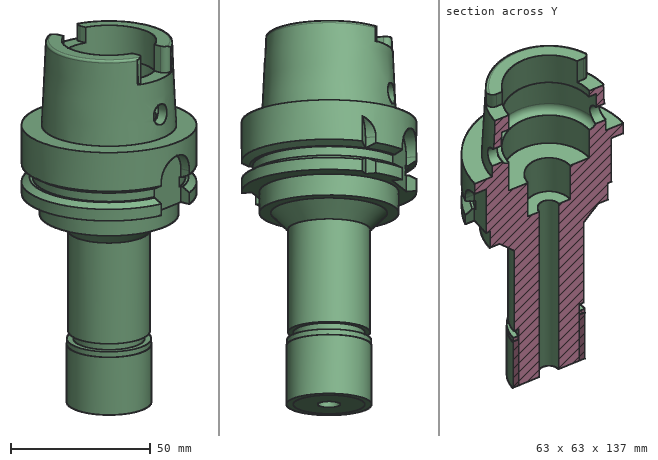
import cadquery as cq
import math


TOTAL_HEIGHT = 137.0
FLANGE_TOP = 105.0
FLANGE_BOTTOM = 79.0
COLLAR_BOTTOM = 71.2
NECK_TOP = 65.1
NECK_BOTTOM = 26.9
RING_TOP = 24.0
NUT_TOP = 21.9

TAPER_BASE_RADIUS = 24.2
TAPER_TOP_RADIUS = 22.7
RIM_FILLET = 1.0

FLANGE_RADIUS = 31.5
GROOVE_RADIUS = 27.5
GROOVE_LIP_RADIUS = 28.6
GROOVE_CHAMFER_HEIGHT = 1.6
GROOVE_FLOOR_TOP = FLANGE_TOP - 16.3
GROOVE_FLOOR_BOTTOM = FLANGE_TOP - 19.9

COLLAR_RADIUS = 25.1
NECK_RADIUS = 14.8
CONE_RADIUS = NECK_RADIUS + COLLAR_BOTTOM - NECK_TOP
SPIGOT_RADIUS = 12.9
RING_RADIUS = 15.2
NUT_RADIUS = 15.3

MOUTH_RADIUS = 17.0
MOUTH_DEPTH = 13.0
CAVITY_RADIUS = 20.0
CAVITY_BOTTOM = 108.4
CAVITY_ROUND = CAVITY_RADIUS - MOUTH_RADIUS
BORE_FLOOR = 95.1
COUNTERBORE_RADIUS = 8.9
COUNTERBORE_FLOOR = FLANGE_BOTTOM
THROUGH_RADIUS = 4.1

RIM_SLOT_WIDTH = 12.6
RIM_SLOT_DEPTHS = {-1: 5.9, 1: 10.0}
RIM_SLOT_EDGE_RADIUS = 2.3
CROSS_HOLE_RADIUS = 3.8
CROSS_HOLE_HEIGHT = FLANGE_TOP + 8.9

POCKET_RADIUS = 8.1
POCKET_TOP = FLANGE_TOP - 5.1
POCKET_FLOOR = 26.6
NOTCH_OFFSET = 28.1
NOTCH_FLOOR = 20.4
NOTCH_TOP = FLANGE_TOP - 4.2


def tube(outer_radius, inner_radius, bottom, top):
    """Hollow cylinder about the Z axis."""
    return cylinder(outer_radius, bottom, top).cut(cylinder(inner_radius, bottom, top))


def cylinder(radius, bottom, top):
    return cq.Workplane("XY", origin=(0, 0, bottom)).circle(radius).extrude(top - bottom)


def turned_blank():
    """Outside shape of the holder before any cutting."""
    profile = [
        (0, 0),
        (SPIGOT_RADIUS, 0),
        (SPIGOT_RADIUS, NECK_BOTTOM),
        (NECK_RADIUS, NECK_BOTTOM),
        (NECK_RADIUS, NECK_TOP),
        (CONE_RADIUS, COLLAR_BOTTOM),
        (COLLAR_RADIUS, COLLAR_BOTTOM),
        (COLLAR_RADIUS, FLANGE_BOTTOM),
        (FLANGE_RADIUS, FLANGE_BOTTOM),
        (FLANGE_RADIUS, GROOVE_FLOOR_BOTTOM - GROOVE_CHAMFER_HEIGHT),
        (GROOVE_LIP_RADIUS, GROOVE_FLOOR_BOTTOM),
        (GROOVE_RADIUS, GROOVE_FLOOR_BOTTOM),
        (GROOVE_RADIUS, GROOVE_FLOOR_TOP),
        (GROOVE_LIP_RADIUS, GROOVE_FLOOR_TOP),
        (FLANGE_RADIUS, GROOVE_FLOOR_TOP + GROOVE_CHAMFER_HEIGHT),
        (FLANGE_RADIUS, FLANGE_TOP),
        (TAPER_BASE_RADIUS, FLANGE_TOP),
        (TAPER_TOP_RADIUS, TOTAL_HEIGHT),
        (0, TOTAL_HEIGHT),
    ]
    blank = cq.Workplane("YZ").polyline(profile).close().revolve(360, (0, 0), (0, 1))
    return blank.faces(">Z").edges().fillet(RIM_FILLET)


def stepped_bore():
    """Main bore with a wider round-bottomed cavity, counterbore and through hole as one cutter."""
    main_bore = cylinder(MOUTH_RADIUS, BORE_FLOOR, TOTAL_HEIGHT)
    cavity = cylinder(CAVITY_RADIUS, CAVITY_BOTTOM, TOTAL_HEIGHT - MOUTH_DEPTH)
    cavity = cavity.faces("<Z").edges().fillet(CAVITY_ROUND)
    counterbore = cylinder(COUNTERBORE_RADIUS, COUNTERBORE_FLOOR, BORE_FLOOR)
    through = cylinder(THROUGH_RADIUS, 0, COUNTERBORE_FLOOR)
    return main_bore.union(cavity).union(counterbore).union(through)


def rim_slot(side, depth):
    """Slot through one side of the rim whose mouth flares round into the taper surface."""
    floor = TOTAL_HEIGHT - depth
    half_width = RIM_SLOT_WIDTH / 2
    edge_radius = RIM_SLOT_EDGE_RADIUS
    rim_reach = TAPER_TOP_RADIUS - edge_radius
    centre_y = half_width + edge_radius
    centre_x = math.sqrt(rim_reach**2 - centre_y**2)
    touch_angle = math.atan2(centre_y, centre_x)
    mid_angle = (touch_angle - math.pi / 2) / 2

    def on_round(angle):
        return centre_x + edge_radius * math.cos(angle), centre_y + edge_radius * math.sin(angle)

    def mirrored(point):
        return point[0], -point[1]

    touch = on_round(touch_angle)
    middle = on_round(mid_angle)
    wall_end = (centre_x, half_width)
    outside = (FLANGE_RADIUS, touch[1])
    slot = (
        cq.Workplane("XY", origin=(0, 0, floor))
        .moveTo(0, half_width)
        .lineTo(*wall_end)
        .threePointArc(middle, touch)
        .lineTo(*outside)
        .lineTo(*mirrored(outside))
        .lineTo(*mirrored(touch))
        .threePointArc(mirrored(middle), mirrored(wall_end))
        .lineTo(0, -half_width)
        .close()
        .extrude(depth)
    )
    return slot if side > 0 else slot.mirror("YZ")


def arched_pocket(side, centre_y, floor_x, top):
    """Round-topped pocket open at the flange bottom, cut along X down to a flat floor."""
    arch_centre = top - POCKET_RADIUS
    pocket = (
        cq.Workplane("YZ", origin=(floor_x, 0, 0))
        .moveTo(centre_y - POCKET_RADIUS, FLANGE_BOTTOM)
        .lineTo(centre_y - POCKET_RADIUS, arch_centre)
        .threePointArc((centre_y, top), (centre_y + POCKET_RADIUS, arch_centre))
        .lineTo(centre_y + POCKET_RADIUS, FLANGE_BOTTOM)
        .close()
        .extrude(FLANGE_RADIUS - floor_x)
    )
    return pocket if side > 0 else pocket.mirror("YZ")


def cross_hole():
    hole = cq.Workplane("YZ").center(0, CROSS_HOLE_HEIGHT).circle(CROSS_HOLE_RADIUS)
    return hole.extrude(FLANGE_RADIUS, both=True)


def make_holder():
    holder = turned_blank().cut(stepped_bore()).cut(cross_hole())
    for side, depth in RIM_SLOT_DEPTHS.items():
        holder = holder.cut(rim_slot(side, depth))
        holder = holder.cut(arched_pocket(side, 0, POCKET_FLOOR, POCKET_TOP))
    return holder.cut(arched_pocket(-1, NOTCH_OFFSET, NOTCH_FLOOR, NOTCH_TOP))


def make_ring():
    return tube(RING_RADIUS, SPIGOT_RADIUS, NUT_TOP, RING_TOP)


def make_nut():
    return tube(NUT_RADIUS, SPIGOT_RADIUS, 0, NUT_TOP)


holder = make_holder()
ring = make_ring()
nut = make_nut()

result = cq.Compound.makeCompound([*holder.solids().vals(), ring.val(), nut.val()])